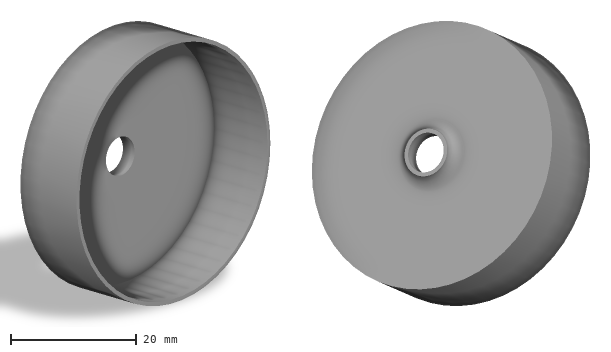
import cadquery as cq
import math

disc_diameter = 43.8
disc_thickness = 12.6
boss_height = 1.95
end_wall_thickness = 0.65
rim_wall_thickness = 0.65
boss_tip_diameter = 7.8
bore_diameter = 6.5

disc_radius = disc_diameter / 2
tip_radius = boss_tip_diameter / 2
bore_radius = bore_diameter / 2
cavity_radius = disc_radius - rim_wall_thickness

flank_radius = boss_height
flank_base_radius = tip_radius + flank_radius
flank_mid_x = -flank_radius + flank_radius * math.sin(math.pi / 4)
flank_mid_radius = flank_base_radius - flank_radius * math.cos(math.pi / 4)

half_section = (
    cq.Workplane("XY")
    .moveTo(-boss_height, bore_radius)
    .lineTo(-boss_height, tip_radius)
    .threePointArc((flank_mid_x, flank_mid_radius), (0, flank_base_radius))
    .lineTo(0, disc_radius)
    .lineTo(disc_thickness, disc_radius)
    .lineTo(disc_thickness, cavity_radius)
    .lineTo(end_wall_thickness, cavity_radius)
    .lineTo(end_wall_thickness, bore_radius)
    .close()
)

result = half_section.revolve(360, (0, 0, 0), (1, 0, 0))